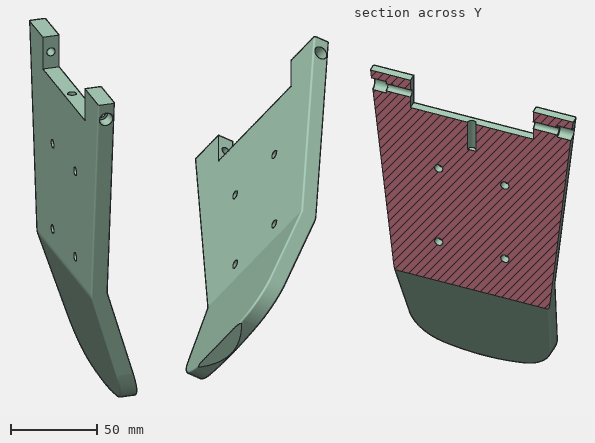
import cadquery as cq
import math

thickness = 10.0
top_width = 127.1
height = 207.5
side_taper = 5.95
bend_depth = 127.5
bend_angle = 17.6
bend_radius = thickness
tip_radius = 100.0
corner_radius = 25.7
edge_round = 1.0
end_overrun = 0.2
flap_extra = 20.7

notch_width = 76.7
notch_depth = 20.1

hole_diameter = 5.0
pin_depth = 10.0
counterbore_diameter = 8.0
counterbore_depth = 10.0
notch_hole_depth = 20.0
mount_spacing_x = 41.5
mount_spacing_z = 54.1
mount_top_depth = 60.0

bend_rad = math.radians(bend_angle)
lower_length = (height + end_overrun - bend_depth) / math.cos(bend_rad)
mid_plane = thickness / 2

down_y = math.sin(bend_rad)
down_z = -math.cos(bend_rad)
tip_y = lower_length * down_y
tip_z = -bend_depth + lower_length * down_z


def bent_plate():
    """Overlong bent strip with a rounded front bend."""
    back_bend_z = -bend_depth + thickness * math.tan(bend_rad / 2)
    flap_length = lower_length + flap_extra
    end_y = flap_length * down_y
    end_z = -bend_depth + flap_length * down_z
    strip = (
        cq.Workplane("YZ")
        .polyline([
            (0, 0),
            (thickness, 0),
            (thickness, back_bend_z),
            (end_y - thickness * down_z, end_z + thickness * down_y),
            (end_y, end_z),
            (0, -bend_depth),
        ])
        .close()
        .extrude(top_width / 2, both=True)
    )
    front_bend = cq.selectors.NearestToPointSelector((0, 0, -bend_depth))
    return strip.edges(front_bend).fillet(bend_radius)


def outline_prism():
    """Outline along Y: tapered sides, rounded corners and a shallow curved lower end."""
    half_top = top_width / 2
    taper = math.tan(math.radians(side_taper))
    half_bottom = half_top - height * taper
    curve_rise = tip_radius - math.sqrt(tip_radius**2 - half_bottom**2)
    half_curve = half_bottom + curve_rise * taper
    prism = (
        cq.Workplane("XZ")
        .moveTo(-half_top, 0)
        .lineTo(half_top, 0)
        .lineTo(half_curve, curve_rise - height)
        .threePointArc((0, -height), (-half_curve, curve_rise - height))
        .close()
        .extrude(height, both=True)
    )
    return prism.edges("|Y and (not >Z)").fillet(corner_radius)


def square_end_cut():
    """Block below the flat end that is square to the lower flap."""
    end_plane = cq.Plane(origin=(0, tip_y, tip_z), xDir=(1, 0, 0), normal=(0, down_y, down_z))
    return cq.Workplane(end_plane).rect(top_width, top_width).extrude(2 * flap_extra)


def rounded_blank():
    """Bent plate trimmed to its outline, with rounded long edges and a square end."""
    blank = bent_plate().intersect(outline_prism())
    broad_faces = blank.faces("#X and (not >Z) and (not <Z)")
    return broad_faces.edges("not |X").fillet(edge_round).cut(square_end_cut())


def hinge_notch():
    """Opening between the two hinge lugs."""
    return cq.Workplane("XY").box(
        notch_width, thickness, 2 * notch_depth, centered=(True, False, True)
    )


def hinge_pin_hole():
    """Cross hole through both lugs, counterbored from each side."""
    bore_start = top_width / 2 - counterbore_depth
    pin_axis = cq.Workplane("YZ").center(mid_plane, -pin_depth)
    pin = pin_axis.circle(hole_diameter / 2).extrude(top_width, both=True)
    for side in (1, -1):
        bore = (
            pin_axis.workplane(offset=side * bore_start)
            .circle(counterbore_diameter / 2)
            .extrude(side * counterbore_depth)
        )
        pin = pin.union(bore)
    return pin


def notch_floor_hole():
    """Blind hole going down from the middle of the notch floor."""
    return (
        cq.Workplane("XY", origin=(0, mid_plane, -notch_depth))
        .circle(hole_diameter / 2)
        .extrude(-notch_hole_depth)
    )


def mounting_holes():
    """Rectangle of four holes through the upper plate."""
    pattern_centre_z = -mount_top_depth - mount_spacing_z / 2
    return (
        cq.Workplane("XZ", origin=(0, 0, pattern_centre_z))
        .rarray(mount_spacing_x, mount_spacing_z, 2, 2)
        .circle(hole_diameter / 2)
        .extrude(-thickness)
    )


result = (
    rounded_blank()
    .cut(hinge_notch())
    .cut(hinge_pin_hole())
    .cut(notch_floor_hole())
    .cut(mounting_holes())
)